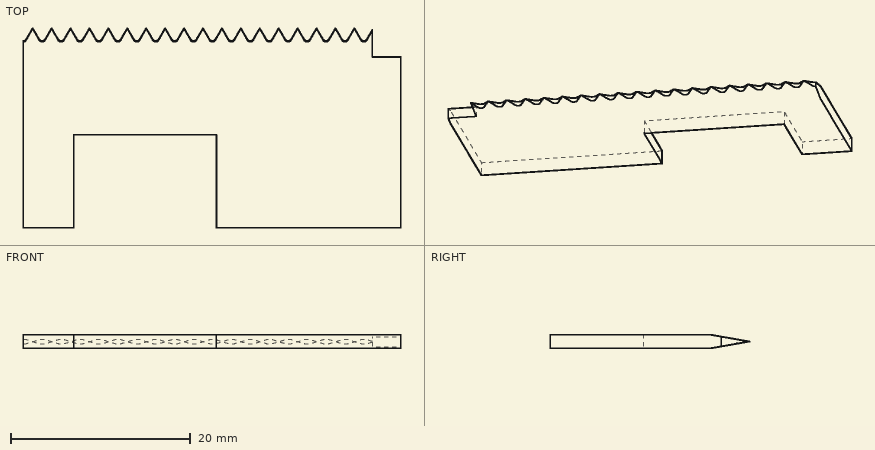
import cadquery as cq
import math

length = 42.06
width = 22.23
thickness = 1.52
bevel_angle = 10.0

pitch = 2.108
gullet_count = 19
flank_angle = math.radians(30.0)
gullet_radius = 0.385

step_size = 3.175

notch_x = 5.65
notch_width = 15.875
notch_depth = 10.35


def make_blank():
    """Flat bar whose +Y edge is bevelled on both faces to a knife edge."""
    half = thickness / 2
    bevel_y = width - half / math.tan(math.radians(bevel_angle))
    section = [(0, -half), (bevel_y, -half), (width, 0), (bevel_y, half), (0, half)]
    return cq.Workplane("YZ").polyline(section).close().extrude(length)


def make_pocket(x, y, size_x, size_y):
    """Rectangular cutter through the full thickness, lower-left corner at (x, y)."""
    pocket = cq.Workplane("XY").box(size_x, size_y, thickness, centered=(False, False, True))
    return pocket.translate((x, y, 0))


def make_gullet(x):
    """V cutter with a rounded root, centred at x and square to the lower bevel."""
    half_width = pitch / 2
    apex_y = width - half_width / math.tan(flank_angle)
    arc_center_y = apex_y + gullet_radius / math.sin(flank_angle)
    root_y = arc_center_y - gullet_radius
    tangent_x = gullet_radius * math.cos(flank_angle)
    tangent_y = arc_center_y - gullet_radius * math.sin(flank_angle)
    upright = (
        cq.Workplane("XY", origin=(x, 0, 0))
        .moveTo(-half_width, width)
        .lineTo(-tangent_x, tangent_y)
        .threePointArc((0, root_y), (tangent_x, tangent_y))
        .lineTo(half_width, width)
        .close()
        .extrude(thickness, both=True)
    )
    return upright.rotate((0, width, 0), (1, width, 0), bevel_angle)


result = make_blank()
result = result.cut(make_pocket(notch_x, 0, notch_width, notch_depth))
result = result.cut(make_pocket(length - step_size, width - step_size, step_size, step_size))

for index in range(gullet_count):
    result = result.cut(make_gullet(index * pitch))